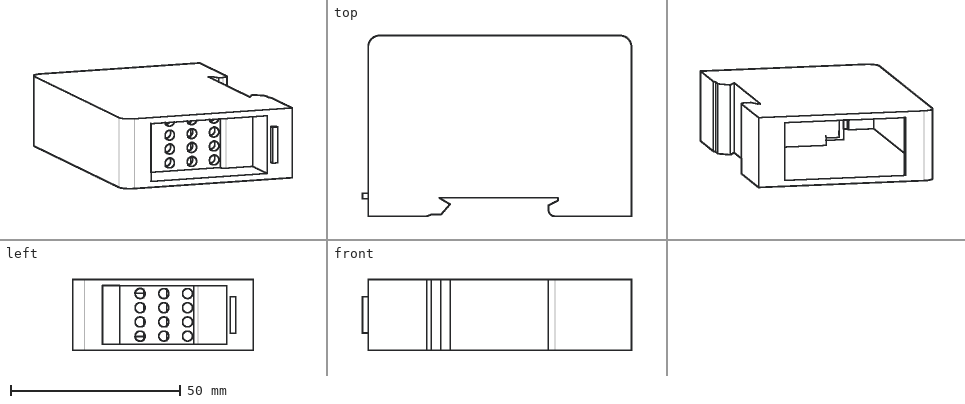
import cadquery as cq
import math

overall_length = 79.6
tab_reach = 1.7
case_length = overall_length - tab_reach
case_depth = 53.5
case_height = 21.0
corner_radius = 3.5

slot_ceiling = 5.5
left_hook_root = 21.0
left_hook_tip = (24.3, 3.6)
left_hook_toe = 21.6
left_hook_relief = 0.5
relief_start = 17.35
relief_end = 18.7
right_hook_root = 56.1
right_hook_face = 53.3
right_hook_shoulder = 4.7
right_hook_lip = 3.3
right_hook_radius = 1.9

end_wall = 1.75
back_wall = 1.3
skin = 1.8
cavity_height = case_height - 2 * skin
window_front = 8.0
window_back = 44.6

plate_face = 13.85
plate_thickness = 3.2
plate_back_edge = 39.6
hole_diameter = 2.95
hole_columns = 3
hole_rows = 4
first_column = 19.5
column_pitch = 7.0
row_span = 12.6
row_pitch = row_span / (hole_rows - 1)

step_reach = 1.6
step_edge = 17.6
step_radius = 1.1

backing_depth = 4.0
lower_backing_edge = 25.6
upper_backing_edge = 32.5
ridge_half_height = 6.45
ridge_rise = 3.6
ridge_width = 4.0

tab_front = 5.2
tab_back = 6.85
tab_height = 10.75


def block(x_start, x_end, y_start, y_end, height):
    """Box between the given X and Y limits, centred on Z = 0."""
    return (
        cq.Workplane("XY")
        .box(x_end - x_start, y_end - y_start, height, centered=(False, False, True))
        .translate((x_start, y_start, 0))
    )


def make_case():
    """Solid case whose outline includes both rail hooks."""
    bend = right_hook_radius * (1 - math.sqrt(0.5))
    return (
        cq.Workplane("XY")
        .moveTo(0, 0)
        .lineTo(relief_start, 0)
        .lineTo(relief_end, left_hook_relief)
        .lineTo(left_hook_toe, left_hook_relief)
        .lineTo(*left_hook_tip)
        .lineTo(left_hook_root, slot_ceiling)
        .lineTo(right_hook_root, slot_ceiling)
        .lineTo(right_hook_root, right_hook_shoulder)
        .lineTo(right_hook_face, right_hook_lip)
        .lineTo(right_hook_face, right_hook_radius)
        .threePointArc((right_hook_face + bend, bend), (right_hook_face + right_hook_radius, 0))
        .lineTo(case_length, 0)
        .lineTo(case_length, case_depth)
        .lineTo(0, case_depth)
        .close()
        .extrude(case_height / 2, both=True)
        .edges("|Z and >Y")
        .fillet(corner_radius)
    )


def make_cavity():
    """Inner space together with the windows through both end walls."""
    room = block(end_wall, case_length - end_wall, window_front, case_depth - back_wall, cavity_height)
    windows = block(0, case_length, window_front, window_back, cavity_height)
    return room.union(windows)


def make_plate():
    """Terminal plate with its grid of holes."""
    plate = block(plate_face, plate_face + plate_thickness, window_front, plate_back_edge, cavity_height)
    centres = [
        (first_column + column * column_pitch, row * row_pitch - row_span / 2)
        for column in range(hole_columns)
        for row in range(hole_rows)
    ]
    holes = (
        cq.Workplane("YZ", origin=(plate_face, 0, 0))
        .pushPoints(centres)
        .circle(hole_diameter / 2)
        .extrude(plate_thickness)
    )
    return plate.cut(holes)


def make_step():
    """Raised step on the plate, rounded along its free edge."""
    return (
        block(plate_face - step_reach, plate_face, window_front, step_edge, cavity_height)
        .edges("|Z and <X and >Y")
        .fillet(step_radius)
    )


def make_backing():
    """Two-level backing behind the plate with the ridge on its upper level."""
    lower_face = plate_face + plate_thickness
    upper_face = lower_face + backing_depth
    back = upper_face + backing_depth
    lower = block(lower_face, back, window_front, lower_backing_edge, cavity_height)
    upper = block(upper_face, back, window_front, upper_backing_edge, cavity_height)
    ridge = (
        cq.Workplane("XZ", origin=(0, upper_backing_edge, 0))
        .moveTo(back, -ridge_half_height)
        .lineTo(back - ridge_rise, 0)
        .lineTo(back, ridge_half_height)
        .close()
        .extrude(-ridge_width)
    )
    return lower.union(upper).union(ridge)


def make_tab():
    """Plain latch tab standing on the -X end."""
    return block(-tab_reach, 0, tab_front, tab_back, tab_height)


result = make_case().cut(make_cavity())
for piece in (make_plate(), make_step(), make_backing(), make_tab()):
    result = result.union(piece)